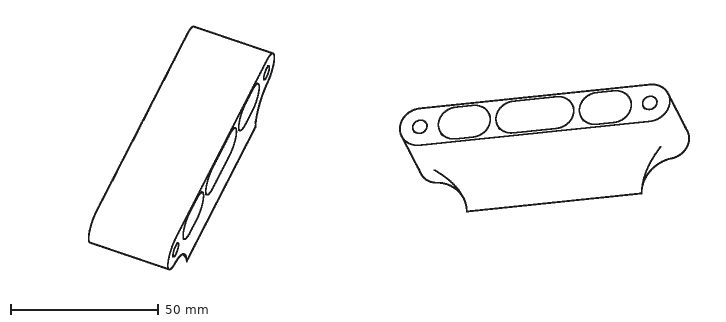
import cadquery as cq

width = 29.1
length = 94.0
bar_height = 14.0
total_height = 26.0

hole_diameter = 5.0
slot_height = 12.0
middle_slot_length = 27.1
side_slot_length = 18.05
side_slot_offset = 24.5

lip_bottom_length = 60.9

pivot_offset = (length - bar_height) / 2
lip_height = total_height - bar_height
bar_bottom = -bar_height / 2
lip_bottom = bar_bottom - lip_height
back = width / 2


def slot_along_x(slot_length, height, offset=0):
    """Round-ended prism spanning the full width, centred at Y = offset."""
    return (
        cq.Workplane("YZ")
        .center(offset, 0)
        .slot2D(slot_length, height)
        .extrude(back, both=True)
    )


def make_lip():
    """Knife-edged flare whose ends are also concave arcs."""
    flare = (
        cq.Workplane("XZ")
        .moveTo(back - lip_height, bar_bottom)
        .radiusArc((back, lip_bottom), lip_height)
        .lineTo(back, 0)
        .lineTo(back - lip_height, 0)
        .close()
        .extrude(pivot_offset, both=True)
    )
    half_bottom = lip_bottom_length / 2
    silhouette = (
        cq.Workplane("YZ")
        .moveTo(-pivot_offset, 0)
        .lineTo(-pivot_offset, bar_bottom)
        .radiusArc((-half_bottom, lip_bottom), lip_height)
        .lineTo(half_bottom, lip_bottom)
        .radiusArc((pivot_offset, bar_bottom), lip_height)
        .lineTo(pivot_offset, 0)
        .close()
        .extrude(back, both=True)
    )
    return flare.intersect(silhouette)


result = slot_along_x(length, bar_height).union(make_lip())

result = result.cut(slot_along_x(middle_slot_length, slot_height))
for side in (-1, 1):
    result = result.cut(slot_along_x(side_slot_length, slot_height, side * side_slot_offset))
    pivot_hole = (
        cq.Workplane("YZ")
        .center(side * pivot_offset, 0)
        .circle(hole_diameter / 2)
        .extrude(back, both=True)
    )
    result = result.cut(pivot_hole)